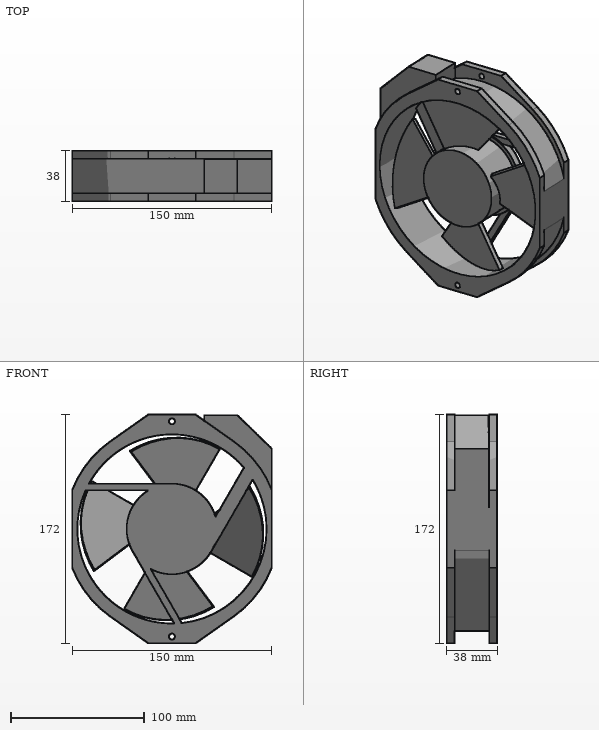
import cadquery as cq
import math

width = 150.0
depth = 38.0
height = 172.0

flange_thickness = 6.0
flange_radius = 80.5
mounting_end_width = 35.5
barrel_radius = 76.7
bore_radius = 71.0
hole_diameter = 4.3
hole_height = 80.8

box_left = 24.3
box_top = 85.5
box_chamfer_width = 25.8
box_chamfer_height = 25.1
box_back_gap = 0.5

motor_disc_radius = 34.0
motor_disc_thickness = 6.0
rotor_radius = 31.0

spoke_count = 3
spoke_width = 5.2
spoke_depth = 5.0

blade_count = 4
blade_radius = 69.8
blade_thickness = 3.5
blade_tilt = 20.0
blade_sweep = 60.0
blade_apex = 10.7
first_blade_angle = 60.0
blade_back = 14.3

front = -depth / 2
back = depth / 2
barrel_front = front + flange_thickness
barrel_back = back - flange_thickness
half_width = width / 2
half_height = height / 2


def front_plane(y):
    """Workplane at the given Y with local x = X, local y = Z, normal = -Y."""
    return cq.Workplane("XZ", origin=(0, y, 0))


def cylinder(radius, y_start, y_end):
    return front_plane(y_end).circle(radius).extrude(y_end - y_start)


def turned(body, angle):
    """Turn a body about the fan axis, counterclockwise as seen from the front."""
    return body.rotate((0, 0, 0), (0, -1, 0), angle)


def between_sides(body):
    """Trim a round body to the flat left and right sides."""
    return body.intersect(cq.Workplane().box(width, depth, height))


def flange(y_back):
    """Disc with flat sides and tapered mounting ends, each end with one hole."""
    disc = between_sides(cylinder(flange_radius, y_back - flange_thickness, y_back))
    end_x = mounting_end_width / 2
    end_distance = math.hypot(end_x, half_height)
    tangent_angle = math.atan2(half_height, end_x) - math.acos(flange_radius / end_distance)
    tangent_x = flange_radius * math.cos(tangent_angle)
    tangent_z = flange_radius * math.sin(tangent_angle)
    outline = [
        (end_x, half_height),
        (tangent_x, tangent_z),
        (tangent_x, -tangent_z),
        (end_x, -half_height),
        (-end_x, -half_height),
        (-tangent_x, -tangent_z),
        (-tangent_x, tangent_z),
        (-end_x, half_height),
    ]
    ends = front_plane(y_back).polyline(outline).close().extrude(flange_thickness)
    holes = front_plane(y_back).pushPoints([(0, hole_height), (0, -hole_height)])
    holes = holes.circle(hole_diameter / 2).extrude(flange_thickness)
    return disc.union(ends).cut(holes)


def barrel():
    return between_sides(cylinder(barrel_radius, barrel_front, barrel_back))


def terminal_box():
    """Chamfered corner box between the flanges."""
    box_back = barrel_back - box_back_gap
    outline = [
        (box_left, 0),
        (box_left, box_top),
        (half_width - box_chamfer_width, box_top),
        (half_width, box_top - box_chamfer_height),
        (half_width, 0),
    ]
    return front_plane(box_back).polyline(outline).close().extrude(box_back - barrel_front)


def spoke(outer_edge):
    """Arm running toward -X, its upper edge at the given distance from the axis."""
    reach = (bore_radius + barrel_radius) / 2
    outer_end = -math.sqrt(reach**2 - outer_edge**2)
    inner_edge = outer_edge - spoke_width
    outline = [
        (outer_end, inner_edge),
        (0, inner_edge),
        (0, outer_edge),
        (outer_end, outer_edge),
    ]
    return front_plane(front + spoke_depth).polyline(outline).close().extrude(spoke_depth)


def blade():
    """Flat tilted blade whose first edge runs along local x."""
    def tip(angle):
        radians = math.radians(angle)
        return (blade_radius * math.cos(radians), blade_radius * math.sin(radians))

    outline = front_plane(0).moveTo(blade_apex, 0).lineTo(*tip(0))
    outline = outline.threePointArc(tip(blade_sweep / 2), tip(blade_sweep)).close()
    plate = outline.extrude(blade_thickness)
    plate = plate.rotate((0, 0, 0), (1, 0, 0), blade_tilt)
    return plate.translate((0, blade_back, 0))


result = flange(barrel_front).union(flange(back)).union(barrel()).union(terminal_box())
result = result.cut(cylinder(bore_radius, front, back))

result = result.union(cylinder(motor_disc_radius, front, front + motor_disc_thickness))
result = result.union(cylinder(rotor_radius, front, back))

for index in range(spoke_count):
    result = result.union(turned(spoke(motor_disc_radius), 360 / spoke_count * index))
cable_arm = spoke(motor_disc_radius - spoke_width)
last_spoke_angle = 360 / spoke_count * (spoke_count - 1)
result = result.union(turned(cable_arm, last_spoke_angle))

for index in range(blade_count):
    result = result.union(turned(blade(), first_blade_angle + 360 / blade_count * index))